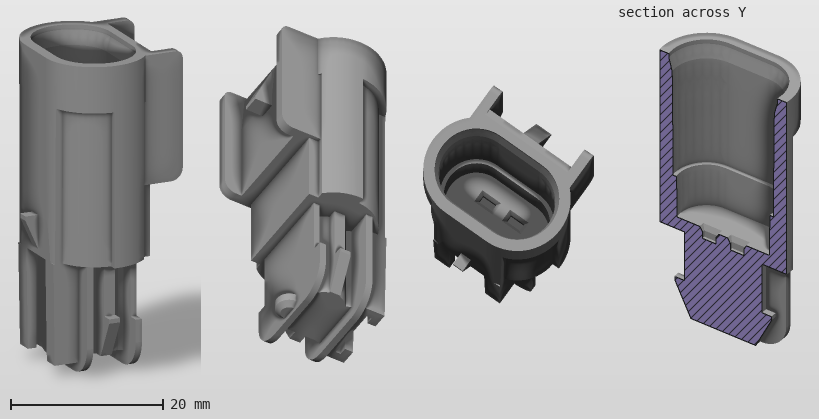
import cadquery as cq
import math

total_height = 43.4
body_bottom = 15.5
collar_bottom = 37.0
straight_length = 6.59
body_radius = 7.0
recess_radius = 6.0

mouth_radius = 5.5
mouth_depth = 0.68
lead_in_depth = 2.0
bore_radius = 4.97
bore_end_radius = 4.93
bore_depth = 3.5
ledge_radius = 4.85
well_radius = 4.3
well_floor_radius = 4.2
ledge_z = 24.0
well_floor_z = 17.5

terminal_offset = 2.23
terminal_y = 1.02
pocket_length = 3.02
pocket_width = 1.86
slot_length = 2.1
slot_width = 1.0
pocket_depth = 0.75
slot_depth = 1.0

recess_back_y = -0.42

rear_wall_y = 6.14
rear_wall_half_width = 7.47
plate_half_width = 8.05
plate_thickness = 1.43
plate_back_y = 10.6
plate_bottom = 25.57
plate_top_round = 1.0
plate_bottom_round = 1.7
rear_ledge_y = 4.74
latch_face_y = 6.67
latch_shoulder_y = 7.65
latch_foot_y = 8.06
latch_shoulder_drop = 0.71
latch_foot_drop = 5.9
latch_tab_half_width = 1.2
latch_tab_drop = 7.3

rail_bottom = 1.5
rail_back_y = -2.5
rail_half_width_low = 5.25
rail_half_width_high = 5.5
rail_front_low = -6.70
rail_front_flush = -body_radius
rail_flush_z = 21.07
channel_half_width = 2.87
channel_lip_y = -5.47
channel_floor_y = -4.72
channel_undercut_half_width = 4.0

flange_half_width = 7.88
flange_round = 4.0
front_flange_y = (-3.27, -2.32)
rear_flange_y = (3.83, rear_ledge_y)
rear_flange_neck_half_width = 6.3
rear_flange_step_z = 7.15

tube_radius = 2.9
tube_y = 0.81
tube_bottom = 1.9
web_half_depth = 2.43
web_half_width = terminal_offset + math.sqrt(tube_radius**2 - web_half_depth**2)
web_flare = 0.3
fin_half_width = 6.3
fin_y = (0.0, 1.6)

hook_flat = 0.6
front_hook_half_width = 0.79
front_hook_tip_y = -8.81
front_hook_height = 4.63
side_hook_top = 7.7
side_hook_tip_x = 7.82
side_hook_root_x = 5.23

bump_radius = 1.87
bump_top = 4.4
bump_bottom = 0.7
bump_chamfer = 0.7


def box(x0, x1, y0, y1, z0, z1):
    return cq.Workplane("XY").box(x1 - x0, y1 - y0, z1 - z0, centered=False).translate((x0, y0, z0))


def wide_box(half_width, y0, y1, z0, z1):
    """Box centred on X = 0."""
    return box(-half_width, half_width, y0, y1, z0, z1)


def oval(radius, z0, z1, end_radius=None):
    """Upright oval from z0 to z1, tapering to end_radius when one is given."""
    sketch = cq.Workplane("XY").workplane(offset=z0).slot2D(straight_length + 2 * radius, 2 * radius)
    if end_radius is None:
        return sketch.extrude(z1 - z0)
    top = sketch.workplane(offset=z1 - z0).slot2D(straight_length + 2 * end_radius, 2 * end_radius)
    return top.loft(ruled=True)


def side_profile(points, half_width):
    """Extrude a closed (y, z) outline symmetrically about X = 0."""
    return cq.Workplane("YZ").polyline(points).close().extrude(half_width, both=True)


def both_sides(shape):
    return shape.union(shape.mirror("YZ"))


def tapered_rail():
    """Rail block from its lower end to the collar, leaning faces included."""
    lean = (rail_front_flush - rail_front_low) / (rail_flush_z - rail_bottom)
    height = collar_bottom - rail_bottom
    front_high = rail_front_low + lean * height
    depth_low = rail_back_y - rail_front_low
    depth_high = rail_back_y - front_high
    return (
        cq.Workplane("XY").workplane(offset=rail_bottom)
        .center(0, rail_back_y - depth_low / 2).rect(2 * rail_half_width_low, depth_low)
        .workplane(offset=height)
        .center(0, (depth_low - depth_high) / 2).rect(2 * rail_half_width_high, depth_high)
        .loft(ruled=True)
    )


def body(rail):
    """Oval shell blank with side recesses, rear ledges and the trimmed lower front."""
    reach = straight_length + body_radius
    blank = oval(body_radius, body_bottom, total_height)
    recess = wide_box(reach, -reach, recess_back_y, body_bottom, collar_bottom)
    recess = recess.cut(oval(recess_radius, body_bottom, collar_bottom)).cut(rail)
    rear_ledge = both_sides(box(plate_half_width, reach, rear_ledge_y, reach, body_bottom, collar_bottom))
    front_trim = wide_box(
        rail_half_width_low, -reach, rail_back_y, body_bottom, rail_flush_z
    ).cut(rail)
    rear_flat = wide_box(reach, rear_wall_y, reach, body_bottom, total_height)
    return blank.cut(recess).cut(rear_ledge).cut(front_trim).cut(rear_flat)


def rear_structure():
    """Rear wall, the two side plates and the latch with its ramped tab."""
    wall = wide_box(rear_wall_half_width, 0, rear_wall_y, body_bottom, total_height)
    lower_corner = both_sides(
        box(rear_wall_half_width, plate_half_width + body_radius, rear_ledge_y, plate_back_y,
            body_bottom, plate_bottom)
    )
    plate = box(plate_half_width - plate_thickness, plate_half_width, 0, plate_back_y,
                plate_bottom, total_height)
    plate = plate.edges(">Y and >Z").fillet(plate_top_round)
    plate = plate.edges(">Y and <Z").fillet(plate_bottom_round)
    shoulder = (latch_shoulder_y, total_height - latch_shoulder_drop)
    latch = side_profile(
        [
            (0, total_height),
            (latch_face_y, total_height),
            shoulder,
            (latch_foot_y, total_height - latch_foot_drop),
            (latch_foot_y, plate_bottom),
            (0, plate_bottom),
        ],
        plate_half_width - plate_thickness,
    )
    tab_z = total_height - latch_tab_drop
    tab_bottom = tab_z - hook_flat
    tab = side_profile(
        [(0, shoulder[1]), shoulder, (plate_back_y, tab_z), (plate_back_y, tab_bottom), (0, tab_bottom)],
        latch_tab_half_width,
    )
    return wall.union(both_sides(plate)).union(latch).union(tab), lower_corner


def lower_rail(rail):
    """Part of the rail below the body, with the T-shaped channel open at its front and bottom."""
    below = wide_box(rail_half_width_high, -2 * body_radius, rail_back_y, rail_bottom, body_bottom)
    mouth = wide_box(channel_half_width, -2 * body_radius, channel_lip_y, rail_bottom, body_bottom)
    undercut = wide_box(
        channel_undercut_half_width, channel_lip_y, channel_floor_y, rail_bottom, body_bottom
    )
    return rail.intersect(below).cut(mouth).cut(undercut)


def flange(y_range):
    plate = wide_box(flange_half_width, y_range[0], y_range[1], 0, body_bottom)
    return plate.edges("|Y and <Z").fillet(flange_round)


def rear_flange():
    """Flange that narrows to a neck above its lower lobe and carries a conical bump."""
    notch = both_sides(
        box(rear_flange_neck_half_width, flange_half_width, *rear_flange_y, rear_flange_step_z, body_bottom)
    )
    bump = (
        cq.Workplane("XZ")
        .polyline([
            (0, bump_top),
            (bump_radius, bump_top - bump_radius),
            (bump_radius, bump_bottom + bump_chamfer),
            (bump_radius - bump_chamfer, bump_bottom),
            (0, bump_bottom),
        ])
        .close().revolve(360, (0, 0, 0), (0, 1, 0))
        .translate((0, rear_ledge_y, 0))
        .intersect(wide_box(bump_radius, rear_flange_y[0], rear_ledge_y + bump_radius, 0, bump_top))
    )
    return flange(rear_flange_y).cut(notch).union(bump)


def terminal_tubes():
    """Two tubes, the flared web that ties them to the flanges, and the side fins with hooks."""
    height = body_bottom - tube_bottom
    tubes = (
        cq.Workplane("XY").workplane(offset=tube_bottom)
        .pushPoints([(-terminal_offset, tube_y), (terminal_offset, tube_y)])
        .circle(tube_radius).extrude(height)
    )
    waist_front = tube_y - web_half_depth
    waist_rear = tube_y + web_half_depth
    tubes = tubes.intersect(
        wide_box(flange_half_width, waist_front, waist_rear, tube_bottom, body_bottom)
    )
    flared = web_half_width + web_flare
    half_outline = [
        (flared, front_flange_y[1]),
        (web_half_width, waist_front),
        (web_half_width, waist_rear),
        (flared, rear_flange_y[0]),
    ]
    outline = half_outline + [(-x, y) for x, y in reversed(half_outline)]
    web = cq.Workplane("XY").workplane(offset=tube_bottom).polyline(outline).close().extrude(height)
    fins = wide_box(fin_half_width, *fin_y, side_hook_top, body_bottom)
    hook = (
        cq.Workplane("XZ", origin=(0, fin_y[1], 0))
        .polyline([
            (0, side_hook_top),
            (side_hook_tip_x, side_hook_top),
            (side_hook_tip_x, side_hook_top - hook_flat),
            (side_hook_root_x, tube_bottom),
            (0, tube_bottom),
        ])
        .close().extrude(fin_y[1] - fin_y[0])
    )
    return tubes.union(web).union(fins).union(both_sides(hook))


def front_hook():
    return side_profile(
        [
            (channel_lip_y, rail_flush_z),
            (front_hook_tip_y, rail_flush_z),
            (front_hook_tip_y, rail_flush_z - hook_flat),
            (-body_radius, rail_flush_z - front_hook_height),
            (channel_lip_y, rail_flush_z - front_hook_height),
        ],
        front_hook_half_width,
    )


def socket():
    """Mouth, sloped lead-in, bore, slimmer skirt down to the ledge and the smaller well below it."""
    mouth_z = total_height - mouth_depth
    bore_z = mouth_z - lead_in_depth
    mouth = oval(mouth_radius, mouth_z, total_height)
    lead_in = oval(bore_radius, bore_z, mouth_z, mouth_radius)
    bore_end_z = bore_z - bore_depth
    bore = oval(bore_end_radius, bore_end_z, bore_z, bore_radius)
    skirt = oval(ledge_radius, ledge_z, bore_end_z, bore_end_radius)
    well = oval(well_floor_radius, well_floor_z, ledge_z, well_radius)
    return mouth.union(lead_in).union(bore).union(skirt).union(well)


def terminal_pocket(x):
    """Funnel-shaped pocket with a small blind slot at its bottom."""
    funnel = (
        cq.Workplane("XY", origin=(x, terminal_y, well_floor_z)).rect(pocket_length, pocket_width)
        .workplane(offset=-pocket_depth).rect(slot_length, slot_width).loft(ruled=True)
    )
    slot_bottom = well_floor_z - pocket_depth - slot_depth
    slot = (
        cq.Workplane("XY", origin=(x, terminal_y, slot_bottom))
        .rect(slot_length, slot_width).extrude(slot_depth)
    )
    return funnel.union(slot)


rail_block = tapered_rail()
rear, rear_corner = rear_structure()
result = body(rail_block).union(rear).cut(rear_corner)
result = result.union(lower_rail(rail_block)).union(flange(front_flange_y)).union(rear_flange())
result = result.union(terminal_tubes()).union(front_hook())
result = result.cut(socket())
for pocket_x in (-terminal_offset, terminal_offset):
    result = result.cut(terminal_pocket(pocket_x))